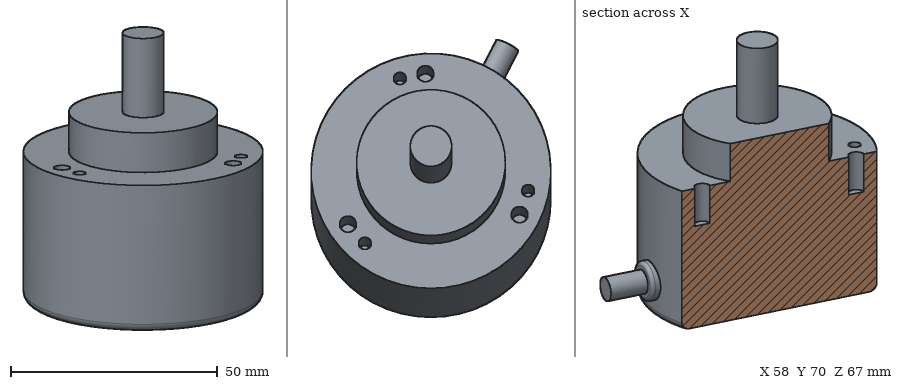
import cadquery as cq

body_diameter = 58.0
body_radius = body_diameter / 2
body_height = 37.0
base_fillet = 2.0

boss_diameter = 36.0
boss_height = 10.0
shaft_diameter = 10.0
shaft_length = 19.95

total_depth = 70.0
cable_diameter = 6.0
cable_axis_height = 9.0
cable_reach = total_depth - body_radius
gland_diameter = 10.0
gland_projection = 2.0
gland_reach = body_radius + gland_projection
gland_fillet = 1.0

hole_circle_radius = 24.0
hole_depth = 10.0
large_hole_diameter = 4.0
small_hole_diameter = 3.0
small_hole_angle = 15.0
hole_count = 3


def upright_cylinder(diameter, height, base_z):
    return cq.Workplane("XY").workplane(offset=base_z).circle(diameter / 2).extrude(height)


def side_cylinder(diameter, start_y, end_y):
    """Cylinder along +Y at the height of the cable."""
    return (
        cq.Workplane("XZ", origin=(0, start_y, cable_axis_height))
        .circle(diameter / 2)
        .extrude(start_y - end_y)
    )


def hole_ring(diameter, start_angle):
    return (
        cq.Workplane("XY")
        .workplane(offset=body_height)
        .polarArray(hole_circle_radius, start_angle, 360, hole_count)
        .circle(diameter / 2)
        .extrude(-hole_depth)
    )


body = upright_cylinder(body_diameter, body_height, 0).faces("<Z").edges().fillet(base_fillet)
boss = upright_cylinder(boss_diameter, boss_height, body_height)
shaft = upright_cylinder(shaft_diameter, shaft_length, body_height + boss_height)

side_start = body_radius / 2
gland = side_cylinder(gland_diameter, side_start, gland_reach).faces(">Y").edges().fillet(gland_fillet)
cable = side_cylinder(cable_diameter, side_start, cable_reach)

result = body.union(boss).union(shaft).union(gland).union(cable)
result = result.cut(hole_ring(large_hole_diameter, 0))
result = result.cut(hole_ring(small_hole_diameter, small_hole_angle))